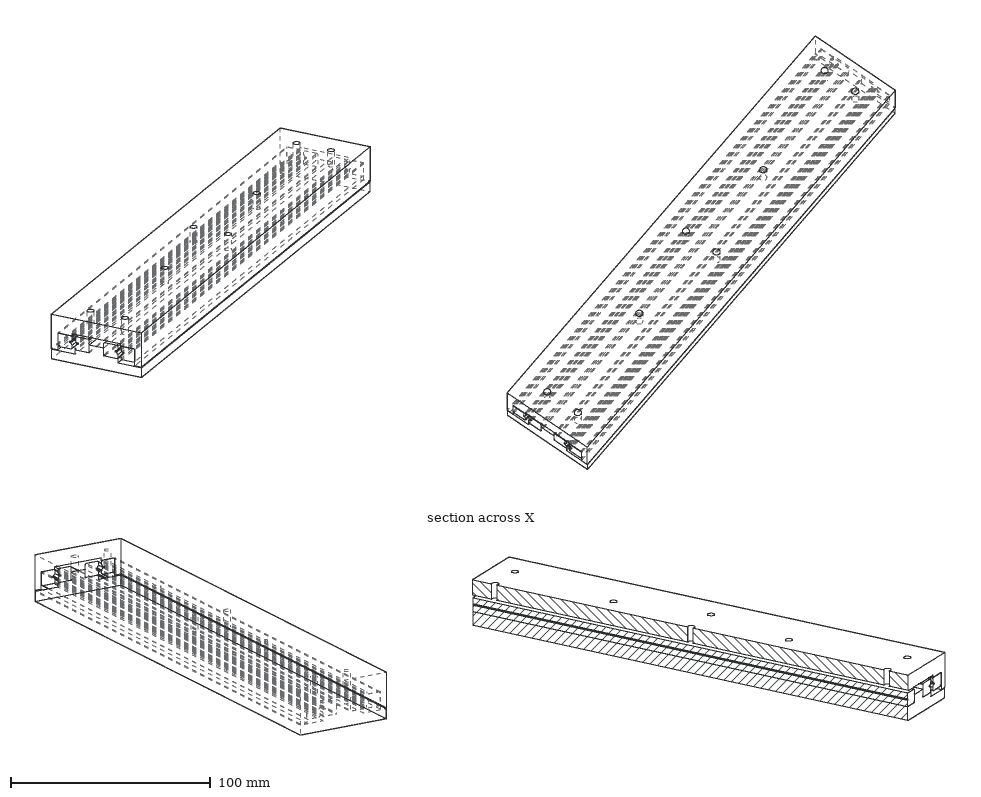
import cadquery as cq

carriage_length = 254.0
inner_length = 253.5
width = 50.5
height = 24.6

rail_width = 8.0
rail_height = 7.4
rail_gap = 1.8
inner_rail_start = 4.0
rail_bottom = 7.5
rail_chamfer = 0.5
groove_mouth = 3.0
groove_depth = 0.8
relief_height = 0.5
relief_depth = 1.5

base_thickness = 5.3
rib_top = 12.0

running_gap = 0.5
channel_top = 16.3

hole_diameter = 3.5
hole_side = 9.7
end_hole_y = 114.3
centre_hole_y = 51.0

rail_top = rail_bottom + rail_height
rail_middle = rail_bottom + rail_height / 2
inner_rail_face = inner_rail_start + rail_width
outer_rail_face = inner_rail_face + rail_gap
outer_rail_back = outer_rail_face + rail_width


def centred_bar(half_width, length, z_start, z_end):
    """Rectangular bar along Y, symmetric about the XZ and YZ planes."""
    return (
        cq.Workplane("XY", origin=(0, 0, z_start))
        .rect(2 * half_width, length)
        .extrude(z_end - z_start)
    )


def make_base():
    plate = centred_bar(width / 2, inner_length, 0, base_thickness)
    pedestal = centred_bar(inner_rail_face, inner_length, base_thickness, rail_bottom)
    rib = centred_bar(inner_rail_start, inner_length, rail_bottom, rib_top)
    return plate.union(pedestal).union(rib)


def make_carriage():
    leg_bottom = base_thickness + running_gap
    block = centred_bar(width / 2, carriage_length, leg_bottom, height)
    rail_space = centred_bar(outer_rail_back, carriage_length, leg_bottom, rail_top)
    channel = centred_bar(outer_rail_face, carriage_length, rail_top, channel_top)

    hole_places = [(x, y) for x in (-hole_side, hole_side) for y in (-end_hole_y, 0, end_hole_y)]
    hole_places += [(0, -centre_hole_y), (0, centre_hole_y)]
    holes = (
        cq.Workplane("XY", origin=(0, 0, channel_top))
        .pushPoints(hole_places)
        .circle(hole_diameter / 2)
        .extrude(height - channel_top)
    )
    return block.cut(rail_space).cut(channel).cut(holes)


def make_rail(face_x, back_direction):
    """Rail with a relieved V groove in its face; back_direction (+1 or -1) points away from the groove."""
    groove_root_x = face_x + back_direction * groove_depth
    groove = [
        (face_x, rail_middle - groove_mouth / 2),
        (groove_root_x, rail_middle - relief_height / 2),
        (groove_root_x, rail_middle + relief_height / 2),
        (face_x, rail_middle + groove_mouth / 2),
    ]
    body = (
        cq.Workplane("XZ", origin=(face_x + back_direction * rail_width / 2, 0, rail_middle))
        .rect(rail_width, rail_height)
        .extrude(inner_length / 2, both=True)
        .edges("|Y")
        .chamfer(rail_chamfer)
    )
    v_cutter = cq.Workplane("XZ").polyline(groove).close().extrude(inner_length / 2, both=True)
    relief_cutter = (
        cq.Workplane("XZ", origin=(face_x + back_direction * relief_depth / 2, 0, rail_middle))
        .rect(relief_depth, relief_height)
        .extrude(inner_length / 2, both=True)
    )
    return body.cut(v_cutter).cut(relief_cutter)


base = make_base()
carriage = make_carriage()
rails = []
for side in (-1, 1):
    rails.append(make_rail(side * inner_rail_face, -side))
    rails.append(make_rail(side * outer_rail_face, side))

result = cq.Compound.makeCompound([base.val(), carriage.val(), *[rail.val() for rail in rails]])